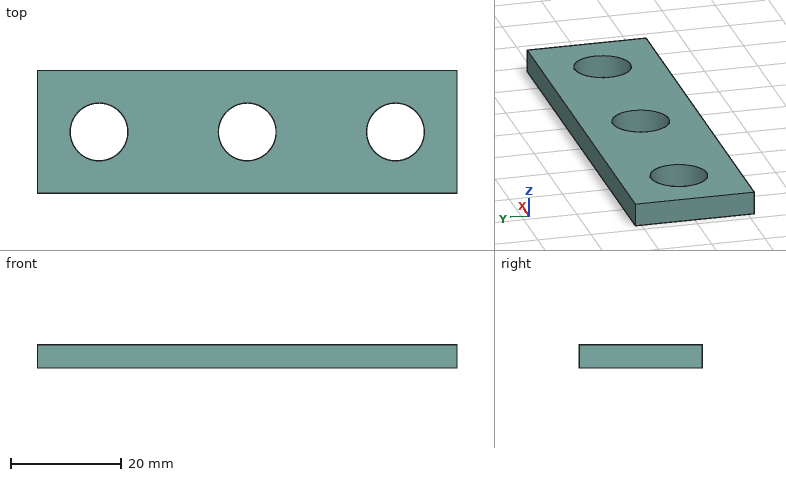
import cadquery as cq

length = 76.2
width = 22.3
thickness = 4.3

hole_diameter = 10.45
hole_spacing = 26.9
hole_count = 3

bar = cq.Workplane("XY").box(length, width, thickness)

result = (
    bar.faces(">Z")
    .workplane()
    .rarray(hole_spacing, width, hole_count, 1)
    .hole(hole_diameter)
)